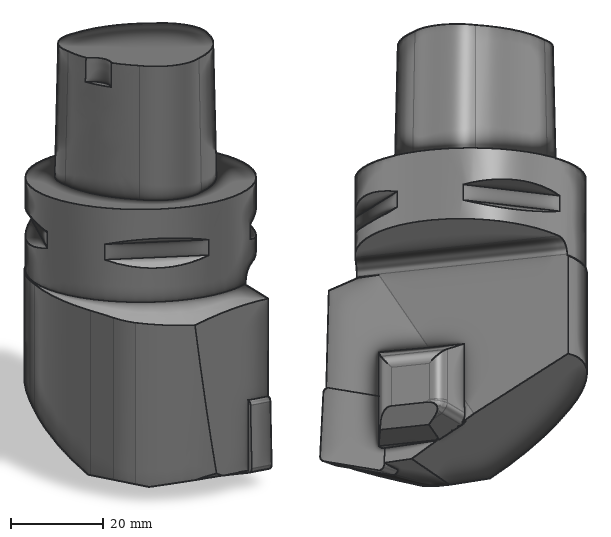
import cadquery as cq
import math

BIG = 140.7

SHANK_HEIGHT = 30.0
SHANK_FLAT_RADIUS = 16.4
SHANK_JOINT_RADIUS = 17.35
SHANK_LOBE_RADIUS = 18.7
SHANK_JOINT_ANGLE = 35.0
SHANK_TAPER = 0.7
SHANK_NOTCH_RADIUS = 4.4
SHANK_NOTCH_DEPTH = 5.4
SHANK_NOTCH_APEX_Y = -13.9

FLANGE_RADIUS = 50.0 / 2
FLANGE_BOTTOM = -20.9
SLOT_FLOOR_RADIUS = 22.2
SLOT_Z = -9.9
SLOT_FLOOR_WIDTH = 3.5
SLOT_WALL_ANGLE = 30.0
SLOT_COUNT = 4

HEAD_BOTTOM = -62.3
HEAD_RADIUS = 25.2
HEAD_FRONT_Y = -28.5
HEAD_CONE_ANGLE = 15.0
BACK_Y = 5.1
BACK_FILLET = 3.4
UNDERSIDE_TILT = 5.0
SLANT_START = (-25.3, -42.8)
SLANT_ANGLE = 27.2
FRONT_BEVEL_START_Y = -19.9
FRONT_BEVEL_ANGLE = 19.5
CORNER_FACE_POINT = (32.1, -15.2, -57.9)
CORNER_FACE_NORMAL = (1.0, -0.5, -0.8)

TIP = (35.0, 0.2, -59.75)
RAKE_NORMAL = (0.118, 1.0, -0.078)
SIDE_NORMAL = (1.0, -0.112, 0.071)
END_NORMAL = (0.27, -0.11, -1.0)
SIDE_POINT = (31.6, 3.4, -22.6)
END_POINT = (15.6, -19.9, HEAD_BOTTOM)

INSERT_EDGE = 16.1
INSERT_ANGLE = 100.0
INSERT_THICKNESS = 6.4
INSERT_CORNER_RADIUS = 1.1

BOSS_LEFT = -0.9
BOSS_RIGHT = 19.7
BOSS_TOP = -38.0
BOSS_LEFT_BOTTOM = -55.6
BOSS_BOTTOM = -59.1
BOSS_BEVEL_END_X = 5.6
BOSS_BASE_Y = 4.1
BOSS_BACK_Y = 11.7
BOSS_DRAFT = 25.0
BOSS_FILLET = 3.75
BOSS_HEEL_FILLET = 2.8
BOSS_TOE_POINT = (0, 10.0, -55.2)
BOSS_TOE_NORMAL = (0, 0.83, -0.56)


def polar(radius, degrees):
    angle = math.radians(degrees)
    return (radius * math.cos(angle), radius * math.sin(angle))


def half_space(point, normal):
    """Large block on the side of a plane that its normal points to."""
    plane = cq.Plane(origin=point, normal=normal)
    return cq.Workplane(plane).rect(2 * BIG, 2 * BIG).extrude(BIG)


def shank_section(work, shrink):
    """Three flat sides joined by three lobes, drawn as six arcs."""
    joint = SHANK_JOINT_RADIUS - shrink
    work = work.moveTo(*polar(joint, -90 - SHANK_JOINT_ANGLE))
    for side_angle in (-90, 30, 150):
        side_middle = polar(SHANK_FLAT_RADIUS - shrink, side_angle)
        side_end = polar(joint, side_angle + SHANK_JOINT_ANGLE)
        lobe_middle = polar(SHANK_LOBE_RADIUS - shrink, side_angle + 60)
        lobe_end = polar(joint, side_angle + 120 - SHANK_JOINT_ANGLE)
        work = work.threePointArc(side_middle, side_end)
        work = work.threePointArc(lobe_middle, lobe_end)
    return work.close()


def make_shank():
    shank = shank_section(cq.Workplane(), 0).workplane(offset=SHANK_HEIGHT)
    shank = shank_section(shank, SHANK_TAPER).loft(ruled=True)
    notch = (
        cq.Workplane(origin=(0, SHANK_NOTCH_APEX_Y - SHANK_NOTCH_RADIUS, SHANK_HEIGHT))
        .circle(SHANK_NOTCH_RADIUS)
        .extrude(-SHANK_NOTCH_DEPTH)
    )
    return shank.cut(notch)


def make_slot():
    """Groove across the +X side with a flat floor and flared walls."""
    outer = FLANGE_RADIUS + 0.9
    floor_half = SLOT_FLOOR_WIDTH / 2
    flare = (outer - SLOT_FLOOR_RADIUS) * math.tan(math.radians(SLOT_WALL_ANGLE))
    return (
        cq.Workplane("XZ")
        .polyline([
            (SLOT_FLOOR_RADIUS, SLOT_Z - floor_half),
            (outer, SLOT_Z - floor_half - flare),
            (outer, SLOT_Z + floor_half + flare),
            (SLOT_FLOOR_RADIUS, SLOT_Z + floor_half),
        ])
        .close()
        .extrude(FLANGE_RADIUS, both=True)
    )


def make_flange():
    flange = cq.Workplane().circle(FLANGE_RADIUS).extrude(FLANGE_BOTTOM)
    slot = make_slot()
    for index in range(SLOT_COUNT):
        angle = (index + 0.5) * 360 / SLOT_COUNT
        flange = flange.cut(slot.rotate((0, 0, 0), (0, 0, 1), angle))
    return flange


def make_head_blank():
    """Head outline under a shallow cone that starts at the flange rim."""
    back_limit = BACK_Y + 0.9
    start = (-math.sqrt(HEAD_RADIUS**2 - back_limit**2), back_limit)
    outline = (
        cq.Workplane(origin=(0, 0, HEAD_BOTTOM))
        .moveTo(*start)
        .threePointArc(polar(HEAD_RADIUS, 200), polar(HEAD_RADIUS, 233.5))
        .lineTo(-12.5, -22.0)
        .tangentArcPoint((7.2, HEAD_FRONT_Y), relative=False)
        .lineTo(13.4, HEAD_FRONT_Y)
        .tangentArcPoint((18.6, -27.6), relative=False)
        .threePointArc((29.0, -20.1), (34.7, -9.4))
        .lineTo(34.7, back_limit)
        .close()
        .extrude(FLANGE_BOTTOM - HEAD_BOTTOM)
    )
    height = FLANGE_BOTTOM - HEAD_BOTTOM
    cone_bottom_radius = FLANGE_RADIUS + height / math.tan(math.radians(HEAD_CONE_ANGLE))
    cone = cq.Workplane(obj=cq.Solid.makeCone(
        cone_bottom_radius, FLANGE_RADIUS, height, pnt=cq.Vector(0, 0, HEAD_BOTTOM)
    ))
    return outline.intersect(cone)


def make_back_cut():
    """Space behind the head, under the tilted flange underside."""
    depth = FLANGE_RADIUS
    tilt = math.tan(math.radians(UNDERSIDE_TILT))
    corner_z = FLANGE_BOTTOM + BACK_FILLET
    profile = [
        (BACK_Y, HEAD_BOTTOM),
        (BACK_Y, corner_z),
        (BACK_Y + depth, corner_z + depth * tilt),
        (BACK_Y + depth, HEAD_BOTTOM),
    ]
    cut = cq.Workplane("YZ").polyline(profile).close().extrude(BIG, both=True)
    corner = cq.selectors.NearestToPointSelector((0, BACK_Y, corner_z))
    return cut.edges(corner).fillet(BACK_FILLET)


def make_rake_cut():
    below_flange = half_space((0, 0, FLANGE_BOTTOM), (0, 0, -1))
    return half_space(TIP, RAKE_NORMAL).intersect(below_flange)


def boss_outline(base_y):
    return (
        cq.Workplane("XZ", origin=(0, base_y, 0))
        .polyline([
            (BOSS_LEFT, BOSS_TOP),
            (BOSS_LEFT, BOSS_LEFT_BOTTOM),
            (BOSS_BEVEL_END_X, BOSS_BOTTOM),
            (BOSS_RIGHT, BOSS_BOTTOM),
            (BOSS_RIGHT, BOSS_TOP),
        ])
        .close()
    )


def make_boss():
    """Drafted block with rounded edges and a sloping lower toe."""
    boss = boss_outline(BOSS_BASE_Y).extrude(BOSS_BASE_Y - BOSS_BACK_Y, taper=BOSS_DRAFT)
    left_heel = cq.selectors.NearestToPointSelector(
        (BOSS_LEFT, (BOSS_BASE_Y + BOSS_BACK_Y) / 2, BOSS_LEFT_BOTTOM)
    )
    boss = boss.edges(left_heel).fillet(BOSS_HEEL_FILLET)
    boss = boss.faces(">Y").edges().fillet(BOSS_FILLET)
    return boss.cut(half_space(BOSS_TOE_POINT, BOSS_TOE_NORMAL))


def cut_head_bottom(holder):
    slant = math.radians(SLANT_ANGLE)
    bevel = math.radians(FRONT_BEVEL_ANGLE)
    slant_point = (SLANT_START[0], 0, SLANT_START[1])
    slant_normal = (-math.sin(slant), 0, -math.cos(slant))
    bevel_point = (0, FRONT_BEVEL_START_Y, HEAD_BOTTOM)
    bevel_normal = (0, -math.sin(bevel), -math.cos(bevel))
    holder = holder.cut(half_space(slant_point, slant_normal))
    return holder.cut(half_space(bevel_point, bevel_normal))


def make_insert():
    """Rhombic plate whose rake face leans towards its cutting corner."""
    rake = cq.Vector(*RAKE_NORMAL)
    end_edge = rake.cross(cq.Vector(*END_NORMAL))
    plane = cq.Plane(origin=TIP, xDir=end_edge, normal=rake)
    side_end = polar(INSERT_EDGE, INSERT_ANGLE)
    far_corner = (side_end[0] + INSERT_EDGE, side_end[1])
    plate = (
        cq.Workplane(plane)
        .polyline([(0, 0), (INSERT_EDGE, 0), far_corner, side_end])
        .close()
        .extrude(-INSERT_THICKNESS)
    )
    rake_axis = cq.selectors.ParallelDirSelector(rake)
    return plate.edges(rake_axis).fillet(INSERT_CORNER_RADIUS)


def make_holder(insert):
    holder = make_flange().union(make_head_blank())
    holder = holder.cut(make_back_cut()).cut(make_rake_cut())
    boss_root = boss_outline(0).extrude(-BOSS_BASE_Y)
    holder = cut_head_bottom(holder.union(boss_root))
    holder = holder.cut(half_space(SIDE_POINT, SIDE_NORMAL))
    holder = holder.cut(half_space(END_POINT, END_NORMAL))
    holder = holder.cut(half_space(CORNER_FACE_POINT, CORNER_FACE_NORMAL))
    holder = holder.union(make_boss()).union(make_shank())
    return holder.cut(insert)


insert = make_insert()
holder = make_holder(insert)
result = cq.Compound.makeCompound([holder.solids().val(), insert.solids().val()])